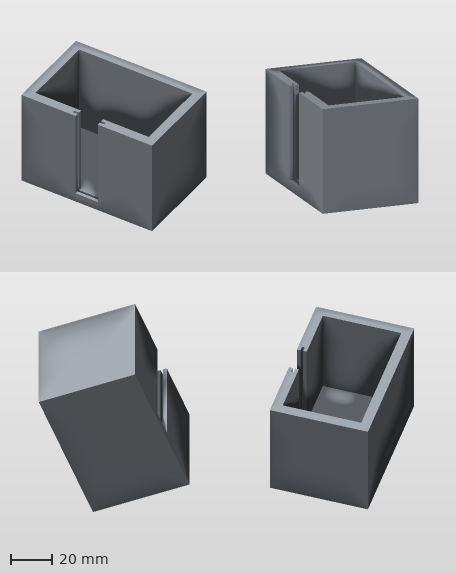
import cadquery as cq

length = 75.0
width = 50.0
height = 53.0
wall = 5.0
floor = 5.0

door_width = 12.75

groove_thickness = 1.35
groove_depth = 2.55
groove_width = door_width + 2 * groove_depth

front = -width / 2


def cut_block(size_x, y_start, y_end, z_start):
    """Block centred on X that reaches from z_start up to the rim."""
    return cq.Workplane("XY").box(
        size_x, y_end - y_start, height - z_start, centered=(True, False, False)
    ).translate((0, y_start, z_start))


body = cq.Workplane("XY").box(length, width, height, centered=(True, True, False))
cavity = cut_block(length - 2 * wall, front + wall, width / 2 - wall, floor)
doorway = cut_block(door_width, front, front + wall, floor)

groove_front = front + (wall - groove_thickness) / 2
groove = cut_block(
    groove_width, groove_front, groove_front + groove_thickness, floor - groove_depth
)

result = body.cut(cavity).cut(doorway).cut(groove)